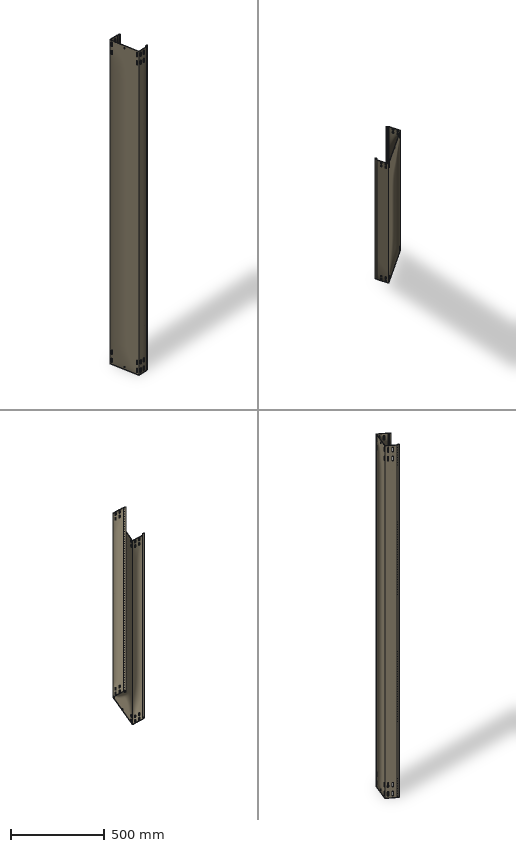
import cadquery as cq

width = 200.0
depth = 80.0
length = 2000.0
sheet = 1.0

step_start = 65.0
step_rise = 1.5
step_inset = 1.5
fold_radius = 5.0
return_length = 5.0

row_spacing = 50.0
row_from_end = row_spacing / 2
slot_length = row_spacing / 2
slot_width = 7.0
front_slot_from_side = 13.0
wall_slot_from_front = 17.0
wall_slot_spacing = 25.0

hole_diameter = 5.0
hole_from_end = 15.0

half_width = width / 2
row_heights = [
    end * (length / 2 - row_from_end - row * row_spacing)
    for end in (-1, 1)
    for row in (0, 1)
]


def make_tray():
    """Bent sheet without holes: half of its outline is drawn, then mirrored about X = 0."""
    outer_x = -half_width
    rim_x = outer_x + step_inset
    fold_x = rim_x + fold_radius
    leg_x = fold_x + fold_radius
    step_end = step_start + step_rise
    fold_y = depth - fold_radius
    leg_end = fold_y - return_length

    profile = (
        cq.Workplane("XY", origin=(0, 0, -length / 2))
        .moveTo(0, 0)
        .lineTo(outer_x, 0)
        .lineTo(outer_x, step_start)
        .lineTo(rim_x, step_end)
        .lineTo(rim_x, fold_y)
        .threePointArc((fold_x, depth), (leg_x, fold_y))
        .lineTo(leg_x, leg_end)
        .lineTo(leg_x - sheet, leg_end)
        .lineTo(leg_x - sheet, fold_y)
        .threePointArc((fold_x, depth - sheet), (rim_x + sheet, fold_y))
        .lineTo(rim_x + sheet, step_end)
        .lineTo(outer_x + sheet, step_start)
        .lineTo(outer_x + sheet, sheet)
        .lineTo(0, sheet)
        .mirrorY()
    )
    return profile.extrude(length)


def make_front_slots():
    """Upright slots through the front panel, close to both walls."""
    slot_x = half_width - front_slot_from_side
    places = [(x, z) for x in (-slot_x, slot_x) for z in row_heights]
    plane = cq.Workplane("XZ", origin=(0, sheet, 0)).pushPoints(places)
    return plane.slot2D(slot_length, slot_width, 90).extrude(sheet)


def make_wall_slots():
    """Upright slots through both walls, side by side in pairs."""
    columns = (wall_slot_from_front, wall_slot_from_front + wall_slot_spacing)
    places = [(y, z) for y in columns for z in row_heights]
    plane = cq.Workplane("YZ").pushPoints(places)
    return plane.slot2D(slot_length, slot_width, 90).extrude(half_width, both=True)


def make_centre_holes():
    """One round hole through the front panel near each end."""
    hole_z = length / 2 - hole_from_end
    plane = cq.Workplane("XZ", origin=(0, sheet, 0)).pushPoints([(0, -hole_z), (0, hole_z)])
    return plane.circle(hole_diameter / 2).extrude(sheet)


result = make_tray().cut(make_front_slots()).cut(make_wall_slots()).cut(make_centre_holes())